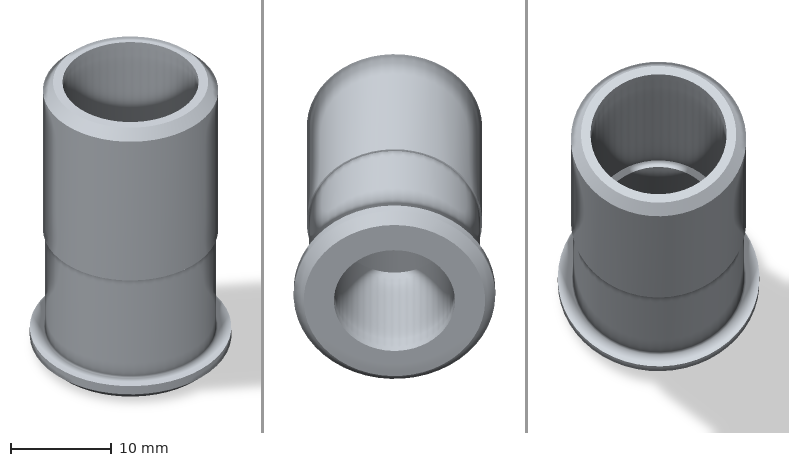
import cadquery as cq
import math

total_height = 32.0

flange_diameter = 20.0
flange_thickness = 2.0
flange_chamfer = 1.0

shank_diameter = 17.0
root_fillet = 0.2

body_diameter = 17.4
shoulder_height = 14.0
body_chamfer = 1.0

lower_bore_diameter = 12.0
upper_bore_diameter = 13.5
bore_step_height = shoulder_height


def cylinder(diameter, bottom, top):
    """Solid cylinder on the Z axis between two heights."""
    return cq.Workplane("XY").workplane(offset=bottom).circle(diameter / 2).extrude(top - bottom)


def make_flange():
    return cylinder(flange_diameter, 0, flange_thickness).faces("<Z").chamfer(flange_chamfer)


def make_body():
    return cylinder(body_diameter, shoulder_height, total_height).faces(">Z").chamfer(body_chamfer)


def make_root_fillet():
    """Concave ring blending the shank into the top of the flange."""
    shank_radius = shank_diameter / 2
    outer_radius = shank_radius + root_fillet
    fillet_top = flange_thickness + root_fillet
    arc_offset = root_fillet * math.sqrt(0.5)
    arc_middle = (outer_radius - arc_offset, fillet_top - arc_offset)
    return (
        cq.Workplane("XZ")
        .moveTo(0, flange_thickness)
        .lineTo(outer_radius, flange_thickness)
        .threePointArc(arc_middle, (shank_radius, fillet_top))
        .lineTo(0, fillet_top)
        .close()
        .revolve(360, (0, 0, 0), (0, 1, 0))
    )


def make_bore():
    lower_bore = cylinder(lower_bore_diameter, 0, total_height)
    upper_bore = cylinder(upper_bore_diameter, bore_step_height, total_height)
    return lower_bore.union(upper_bore)


shank = cylinder(shank_diameter, flange_thickness, shoulder_height)
outside = make_flange().union(make_root_fillet()).union(shank).union(make_body())
result = outside.cut(make_bore())